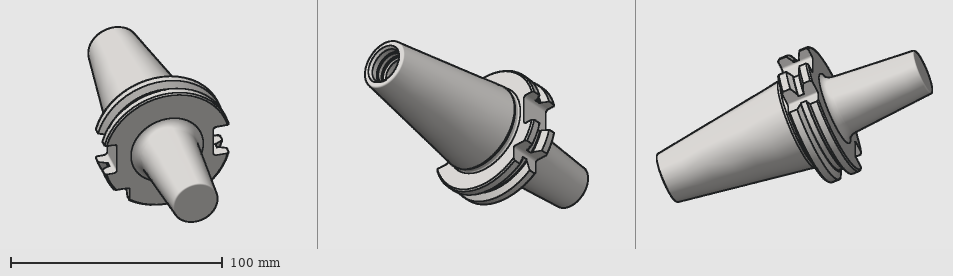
import cadquery as cq
import math

LENGTH = 133.2

TAPER_LENGTH = 67.8
TAPER_LARGE_RADIUS = 22.3
TAPER_RATE = 7 / 24 / 2
TAPER_SMALL_RADIUS = TAPER_LARGE_RADIUS - TAPER_LENGTH * TAPER_RATE
END_ROUND = 0.8

NECK_START = 68.9
NECK_END = 70.4
NECK_RADIUS = 21.9
NECK_FLARE_RADIUS = 22.7

FLANGE_START = 71.5
FLANGE_END = 87.3
FLANGE_DIAMETER = 63.5
FLANGE_RADIUS = FLANGE_DIAMETER / 2
FLANGE_CHAMFER = 0.8
GROOVE_CENTER = 79.5
GROOVE_MOUTH = 6.8
GROOVE_FLOOR_WIDTH = 2.9
GROOVE_FLOOR_RADIUS = 27.7
GROOVE_WALL_ANGLE = 30.0

NOSE_START = 91.7
NOSE_ROOT_RADIUS = 14.3
NOSE_END_RADIUS = 11.0
NOSE_BLEND_RADIUS = 17.9

SLOT_WIDTH = 16.3
SLOT_FLOOR_FRONT = 24.8
SLOT_FLOOR_BACK = 22.8
SLOT_CORNER_RADIUS = 1.6
NOTCH_Y = -18.4
NOTCH_Z = -18.1
NOTCH_CORNER_RADIUS = 1.2

MOUTH_RADIUS = 9.7
MOUTH_DEPTH = 1.6
PILOT_RADIUS = 8.7
PILOT_DEPTH = 4.7
THREAD_RADIUS = 8.0
THREAD_LEAD_IN = 0.4
THREAD_DEPTH = 7.3
CORE_RADIUS = 7.7
CORE_DEPTH = 8.3
DRILL_RADIUS = 6.9
DRILL_LEAD_IN = 1.0
DRILL_DEPTH = 32.0
DRILL_TIP_ANGLE = 118.0


def revolve_about_x(profile):
    """Revolve a closed (x, radius) outline about the X axis."""
    return profile.close().revolve(360, (0, 0, 0), (1, 0, 0))


def make_body():
    mouth_half = GROOVE_MOUTH / 2
    wall_foot_half = GROOVE_FLOOR_WIDTH / 2
    wall_drop = (mouth_half - wall_foot_half) / math.tan(math.radians(GROOVE_WALL_ANGLE))
    wall_foot_radius = FLANGE_RADIUS - wall_drop
    chamfer_radius = FLANGE_RADIUS - FLANGE_CHAMFER

    profile = (
        cq.Workplane("XY")
        .moveTo(0, 0)
        .lineTo(0, TAPER_SMALL_RADIUS - END_ROUND)
        .tangentArcPoint((END_ROUND, TAPER_SMALL_RADIUS + END_ROUND * TAPER_RATE), relative=False)
        .lineTo(TAPER_LENGTH, TAPER_LARGE_RADIUS)
        .lineTo(NECK_START, NECK_RADIUS)
        .lineTo(NECK_END, NECK_RADIUS)
        .tangentArcPoint((FLANGE_START, NECK_FLARE_RADIUS), relative=False)
        .lineTo(FLANGE_START, chamfer_radius)
        .lineTo(FLANGE_START + FLANGE_CHAMFER, FLANGE_RADIUS)
        .lineTo(GROOVE_CENTER - mouth_half, FLANGE_RADIUS)
        .lineTo(GROOVE_CENTER - wall_foot_half, wall_foot_radius)
        .lineTo(GROOVE_CENTER - wall_foot_half, GROOVE_FLOOR_RADIUS)
        .lineTo(GROOVE_CENTER + wall_foot_half, GROOVE_FLOOR_RADIUS)
        .lineTo(GROOVE_CENTER + wall_foot_half, wall_foot_radius)
        .lineTo(GROOVE_CENTER + mouth_half, FLANGE_RADIUS)
        .lineTo(FLANGE_END - FLANGE_CHAMFER, FLANGE_RADIUS)
        .lineTo(FLANGE_END, chamfer_radius)
        .lineTo(FLANGE_END, 0)
    )
    nose = (
        cq.Workplane("XY")
        .moveTo(FLANGE_END, 0)
        .lineTo(LENGTH, 0)
        .lineTo(LENGTH, NOSE_END_RADIUS - END_ROUND)
        .tangentArcPoint((LENGTH - END_ROUND, NOSE_END_RADIUS), relative=False)
        .lineTo(NOSE_START, NOSE_ROOT_RADIUS)
        .tangentArcPoint((FLANGE_END, NOSE_BLEND_RADIUS), relative=False)
    )
    return revolve_about_x(profile).union(revolve_about_x(nose))


def make_bore():
    tip_length = DRILL_RADIUS / math.tan(math.radians(DRILL_TIP_ANGLE / 2))
    profile = (
        cq.Workplane("XY")
        .moveTo(0, 0)
        .lineTo(0, MOUTH_RADIUS)
        .lineTo(MOUTH_DEPTH, PILOT_RADIUS)
        .lineTo(PILOT_DEPTH, PILOT_RADIUS)
        .lineTo(PILOT_DEPTH + THREAD_LEAD_IN, THREAD_RADIUS)
        .lineTo(THREAD_DEPTH, THREAD_RADIUS)
        .lineTo(THREAD_DEPTH, CORE_RADIUS)
        .lineTo(CORE_DEPTH, CORE_RADIUS)
        .lineTo(CORE_DEPTH + DRILL_LEAD_IN, DRILL_RADIUS)
        .lineTo(DRILL_DEPTH, DRILL_RADIUS)
        .lineTo(DRILL_DEPTH + tip_length, 0)
    )
    return revolve_about_x(profile)


def flange_cutter(y_min, y_max, z_min, z_max):
    """Block through the flange width, bounded in Y and Z."""
    return cq.Workplane("XY").box(
        FLANGE_END - FLANGE_START, y_max - y_min, z_max - z_min, centered=False
    ).translate((FLANGE_START, y_min, z_min))


def make_drive_slots():
    half = SLOT_WIDTH / 2
    front = flange_cutter(-FLANGE_RADIUS, -SLOT_FLOOR_FRONT, -half, half)
    back = flange_cutter(SLOT_FLOOR_BACK, FLANGE_RADIUS, -half, half)
    front = front.edges("|X and >Y").fillet(SLOT_CORNER_RADIUS)
    back = back.edges("|X and <Y").fillet(SLOT_CORNER_RADIUS)
    return front.union(back)


def make_notch():
    notch = flange_cutter(-FLANGE_RADIUS, NOTCH_Y, -FLANGE_RADIUS, NOTCH_Z)
    return notch.edges("|X and >Y and >Z").fillet(NOTCH_CORNER_RADIUS)


result = make_body().cut(make_bore()).cut(make_drive_slots()).cut(make_notch())